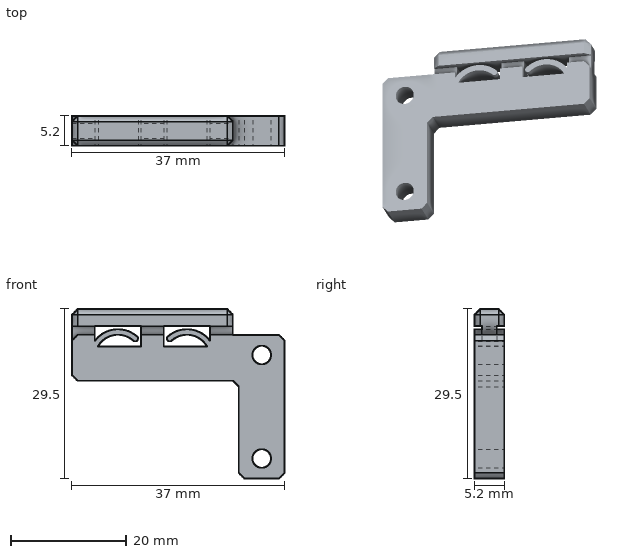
import cadquery as cq
import math

length = 37.0
thickness = 5.2
limb_width = 8.0
body_top = 25.0
arm_bottom = body_top - limb_width
leg_left = length - limb_width
corner_chamfer = 1.0

rail_length = 28.0
rail_height = 3.0
web_gap = 1.5
web_thickness = 2.6
rail_bottom = body_top + web_gap
rail_chamfer = 1.0

hole_diameter = 3.2
hole_x = length - limb_width / 2
lower_hole_z = 3.5
hole_spacing = 18.0

window_left = 4.0
window_width = 8.0
window_bottom = 23.0
mirror_x = rail_length / 2

finger_thickness = 1.0
finger_outer_radius = 5.0
finger_top_clearance = 0.5
finger_tip_offset = 3.0
finger_center_x = window_left + window_width / 2
finger_center_z = rail_bottom - finger_top_clearance - finger_outer_radius
finger_inner_radius = finger_outer_radius - finger_thickness
finger_mid_radius = finger_outer_radius - finger_thickness / 2
tip_angle = math.acos(finger_tip_offset / finger_mid_radius)
root_angle = math.pi


def xz_sketch():
    """XZ plane at the middle of the thickness."""
    return cq.Workplane("XZ")


def block(left, right, bottom, top, depth):
    """Box spanning the given X and Z limits, centred on Y = 0."""
    return (
        xz_sketch()
        .center((left + right) / 2, (bottom + top) / 2)
        .rect(right - left, top - bottom)
        .extrude(depth / 2, both=True)
    )


def make_body():
    c = corner_chamfer
    outline = [
        (0, arm_bottom + c),
        (0, body_top - c),
        (c, body_top),
        (length - c, body_top),
        (length, body_top - c),
        (length, c),
        (length - c, 0),
        (leg_left + c, 0),
        (leg_left, c),
        (leg_left, arm_bottom - c),
        (leg_left - c, arm_bottom),
        (c, arm_bottom),
    ]
    return xz_sketch().polyline(outline).close().extrude(thickness / 2, both=True)


def make_rail():
    rail = block(0, rail_length, rail_bottom, rail_bottom + rail_height, thickness)
    return rail.edges("|Z or >Z").chamfer(rail_chamfer)


def make_web():
    return block(0, rail_length, body_top - corner_chamfer, rail_bottom, web_thickness)


def make_window():
    right = window_left + window_width
    return block(window_left, right, window_bottom, rail_bottom, thickness)


def finger_point(radius, angle):
    x = finger_center_x + radius * math.cos(angle)
    z = finger_center_z + radius * math.sin(angle)
    return (x, z)


def make_finger():
    mid_angle = (root_angle + tip_angle) / 2
    tip_x, tip_z = finger_point(finger_mid_radius, tip_angle)
    tip_radius = finger_thickness / 2
    tip_apex = (
        tip_x + tip_radius * math.sin(tip_angle),
        tip_z - tip_radius * math.cos(tip_angle),
    )
    return (
        xz_sketch()
        .moveTo(*finger_point(finger_outer_radius, root_angle))
        .threePointArc(
            finger_point(finger_outer_radius, mid_angle),
            finger_point(finger_outer_radius, tip_angle),
        )
        .threePointArc(tip_apex, finger_point(finger_inner_radius, tip_angle))
        .threePointArc(
            finger_point(finger_inner_radius, mid_angle),
            finger_point(finger_inner_radius, root_angle),
        )
        .close()
        .extrude(thickness / 2, both=True)
    )


def make_holes():
    centers = [(hole_x, lower_hole_z), (hole_x, lower_hole_z + hole_spacing)]
    return xz_sketch().pushPoints(centers).circle(hole_diameter / 2).extrude(thickness / 2, both=True)


def mirrored(shape):
    return shape.mirror("YZ", (mirror_x, 0, 0))


result = make_body().union(make_web()).union(make_rail()).cut(make_holes())

window = make_window()
result = result.cut(window).cut(mirrored(window))

finger = make_finger()
result = result.union(finger).union(mirrored(finger))